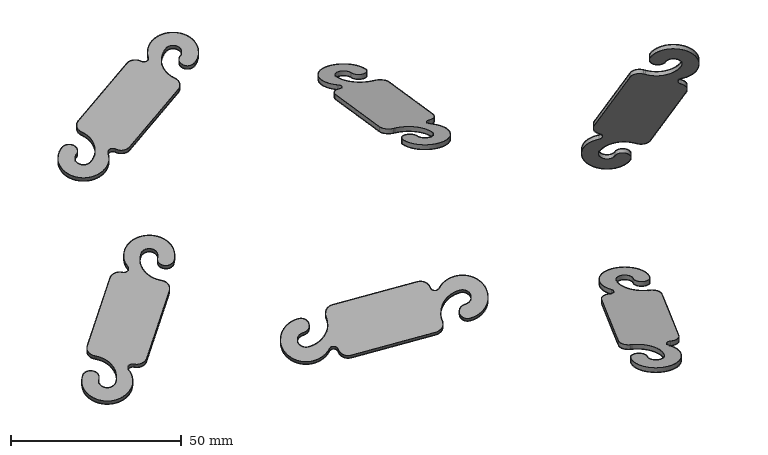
import cadquery as cq
import math

total_length = 63.0
body_width = 18.0
body_length = 32.0
thickness = 1.6
corner_radius = 3.0
hook_outer_radius = 7.5
hook_inner_radius = 2.5
neck_fillet_radius = 1.4

body_top = body_length / 2
hook_y = total_length / 2 - hook_outer_radius
tip_radius = (hook_outer_radius - hook_inner_radius) / 2
tip_x = hook_inner_radius + tip_radius

throat_radius = hook_y - body_top
throat_x = throat_radius - hook_inner_radius

fillet_y = body_top + neck_fillet_radius
fillet_center_distance = hook_outer_radius + neck_fillet_radius
fillet_x = -math.sqrt(fillet_center_distance**2 - (hook_y - fillet_y) ** 2)
fillet_direction = math.atan2(fillet_y - hook_y, fillet_x)


def circle_point(center_x, center_y, radius, angle):
    """Point on a circle at an angle in radians."""
    return (center_x + radius * math.cos(angle), center_y + radius * math.sin(angle))


def add_half_outline(outline, side):
    """Trace one hook and its body end; side is 1 for the +Y end, -1 for its half-turn copy."""

    def place(point):
        return (side * point[0], side * point[1])

    def arc(middle, end):
        nonlocal outline
        outline = outline.threePointArc(place(middle), place(end))

    diagonal = math.pi / 4
    corner_x = body_width / 2 - corner_radius
    corner_y = body_top - corner_radius

    outline = outline.lineTo(*place((body_width / 2, corner_y)))
    arc(circle_point(corner_x, corner_y, corner_radius, diagonal), (corner_x, body_top))
    outline = outline.lineTo(*place((throat_x, body_top)))

    arc(
        circle_point(throat_x, hook_y, throat_radius, -3 * diagonal),
        (-hook_inner_radius, hook_y),
    )
    arc((0, hook_y + hook_inner_radius), (hook_inner_radius, hook_y))
    arc((tip_x, hook_y - tip_radius), (hook_outer_radius, hook_y))
    arc(
        (0, hook_y + hook_outer_radius),
        circle_point(0, hook_y, hook_outer_radius, fillet_direction),
    )

    fillet_middle_angle = (fillet_direction + math.pi / 2) / 2
    arc(
        circle_point(fillet_x, fillet_y, neck_fillet_radius, fillet_middle_angle),
        (fillet_x, body_top),
    )
    outline = outline.lineTo(*place((-corner_x, body_top)))
    arc(
        circle_point(-corner_x, corner_y, corner_radius, 3 * diagonal),
        (-body_width / 2, corner_y),
    )
    return outline


outline = cq.Workplane("XY").moveTo(body_width / 2, corner_radius - body_top)
for side in (1, -1):
    outline = add_half_outline(outline, side)

result = outline.close().extrude(thickness)